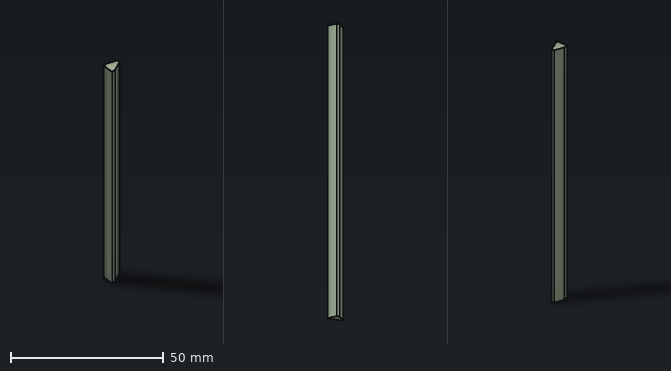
import cadquery as cq

length = 100.0
base_width = 4.0
depth = 5.0
side_height = 1.5
crest_width = 1.0

half_base = base_width / 2
half_crest = crest_width / 2
base_y = -depth / 2
shoulder_y = base_y + side_height
crest_y = depth / 2

section = [
    (-half_base, base_y),
    (half_base, base_y),
    (half_base, shoulder_y),
    (half_crest, crest_y),
    (-half_crest, crest_y),
    (-half_base, shoulder_y),
]
result = cq.Workplane("XY").polyline(section).close().extrude(length)